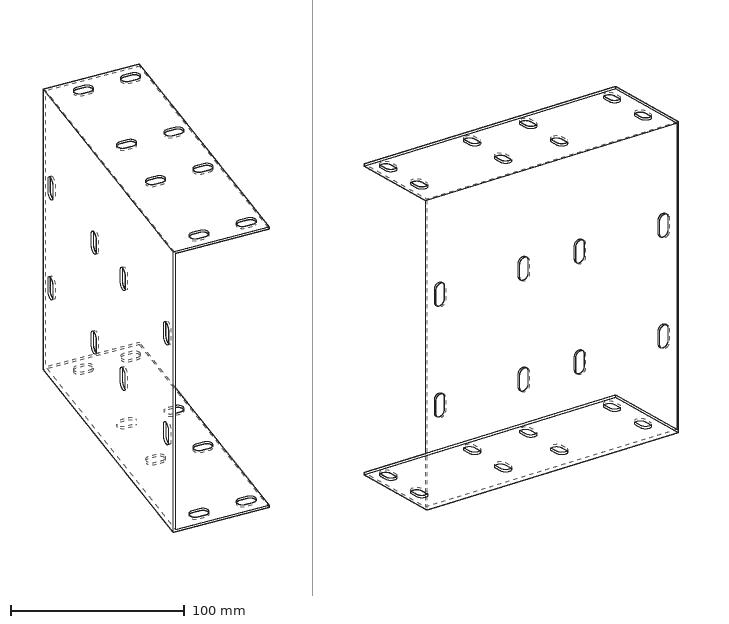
import cadquery as cq

width = 180.0
depth = 60.8
height = 196.7
thickness = 1.5

slot_width = 7.0
web_slot_length = 15.0
flange_slot_length = 12.0
outer_column = 80.0
inner_column = 20.0
slot_columns = [-outer_column, -inner_column, inner_column, outer_column]

web_row_spacing = 70.0
flange_row_spacing = 30.0
flange_edge_to_row = 10.0

web_face = -depth / 2
free_edge = depth / 2
web_rows = [-web_row_spacing / 2, web_row_spacing / 2]
far_row = free_edge - flange_edge_to_row
flange_rows = [far_row - flange_row_spacing, far_row]


def make_channel():
    """U-section with its open side toward +Y."""
    block = cq.Workplane("XY").box(width, depth, height)
    opening = (
        cq.Workplane("XY")
        .box(width, depth, height - 2 * thickness)
        .translate((0, thickness, 0))
    )
    return block.cut(opening)


def slot_cutters(plane, rows, length, cut_depth):
    """Round-ended slots at every column and row, long side across the columns."""
    centres = [(column, row) for column in slot_columns for row in rows]
    return plane.pushPoints(centres).slot2D(length, slot_width, 90).extrude(cut_depth)


web_plane = cq.Workplane("XZ", origin=(0, web_face, 0))
web_slots = slot_cutters(web_plane, web_rows, web_slot_length, -thickness)

flange_plane = cq.Workplane("XY", origin=(0, 0, -height / 2))
flange_slots = slot_cutters(flange_plane, flange_rows, flange_slot_length, height)

result = make_channel().cut(web_slots).cut(flange_slots)